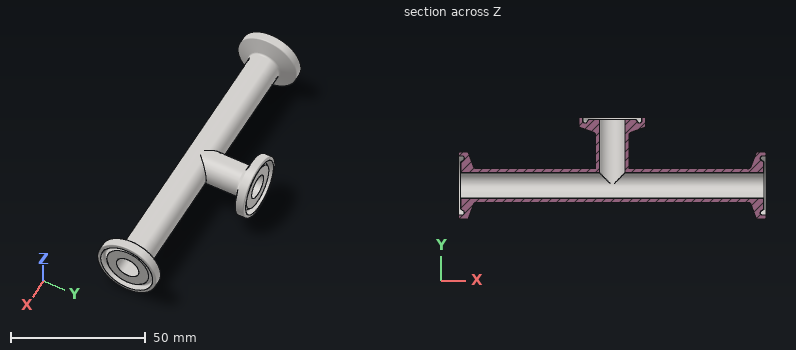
import cadquery as cq
import math

run_length = 114.3
branch_reach = 25.4
tube_diameter = 12.7
bore_diameter = 9.4

ferrule_length = 12.7
flange_diameter = 24.99
flange_thickness = 3.7
back_cone_angle = 20.0
face_edge_radius = 0.4
back_edge_radius = 0.5
neck_fillet_radius = 0.8

recess_depth = 0.8
seat_diameter = 21.89
groove_inner_diameter = 17.6
groove_wall_foot_diameter = 19.0
groove_wall_angle = 35.0

tube_radius = tube_diameter / 2
bore_radius = bore_diameter / 2
flange_radius = flange_diameter / 2
run_half = run_length / 2
flange_cone_length = (flange_radius - tube_radius) * math.tan(math.radians(back_cone_angle))


def circles_at(height):
    """Selector for the circular edges of a ferrule at one height above its end face."""
    margin = 0.1
    return cq.selectors.BoxSelector(
        (-flange_radius - margin, -flange_radius - margin, height - margin),
        (flange_radius + margin, flange_radius + margin, height + margin),
        boundingbox=True,
    )


def gasket_seat():
    """Recess and groove on the Z axis, to be cut from a ferrule end face at Z = 0."""
    seat_radius = seat_diameter / 2
    inner_radius = groove_inner_diameter / 2
    foot_radius = groove_wall_foot_diameter / 2
    wall_angle = math.radians(groove_wall_angle)
    foot_depth = recess_depth + (foot_radius - inner_radius) / math.tan(wall_angle)
    outer_wall_depth = foot_depth - (seat_radius - foot_radius) * math.tan(wall_angle / 2)
    return (
        cq.Workplane("XZ")
        .lineTo(0, recess_depth)
        .lineTo(inner_radius, recess_depth)
        .lineTo(foot_radius, foot_depth)
        .tangentArcPoint((seat_radius, outer_wall_depth), relative=False)
        .lineTo(seat_radius, 0)
        .close()
        .revolve(360, (0, 0, 0), (0, 1, 0))
    )


def ferrule():
    """Unbored ferrule on the Z axis, end face at Z = 0 and neck toward +Z."""
    neck_start = flange_thickness + flange_cone_length
    body = (
        cq.Workplane("XZ")
        .lineTo(flange_radius, 0)
        .lineTo(flange_radius, flange_thickness)
        .lineTo(tube_radius, neck_start)
        .lineTo(tube_radius, ferrule_length)
        .lineTo(0, ferrule_length)
        .close()
        .revolve(360, (0, 0, 0), (0, 1, 0))
    )
    body = body.edges(circles_at(neck_start)).fillet(neck_fillet_radius)
    body = body.edges(circles_at(flange_thickness)).fillet(back_edge_radius)
    body = body.edges(circles_at(0)).fillet(face_edge_radius)
    return body.cut(gasket_seat())


def cylinder_x(radius, length):
    """Cylinder along X, centred on the origin."""
    return cq.Workplane("YZ").circle(radius).extrude(length / 2, both=True)


def cylinder_y(radius, length):
    """Cylinder from the origin along +Y."""
    return cq.Workplane("XZ").circle(radius).extrude(-length)


def tee_tubes():
    """Solid run and branch tubes that meet the ferrule necks."""
    run = cylinder_x(tube_radius, run_length - 2 * ferrule_length)
    branch = cylinder_y(tube_radius, branch_reach - ferrule_length)
    return run.union(branch)


def bores():
    """Through bore of the run and the branch bore that opens into it."""
    return cylinder_x(bore_radius, run_length).union(cylinder_y(bore_radius, branch_reach))


end_ferrule = ferrule()
left_ferrule = end_ferrule.rotate((0, 0, 0), (0, 1, 0), 90).translate((-run_half, 0, 0))
right_ferrule = end_ferrule.rotate((0, 0, 0), (0, 1, 0), -90).translate((run_half, 0, 0))
branch_ferrule = end_ferrule.rotate((0, 0, 0), (1, 0, 0), 90).translate((0, branch_reach, 0))

tee = tee_tubes()
for end in (left_ferrule, right_ferrule, branch_ferrule):
    tee = tee.union(end, clean=False)

result = tee.cut(bores(), clean=False)